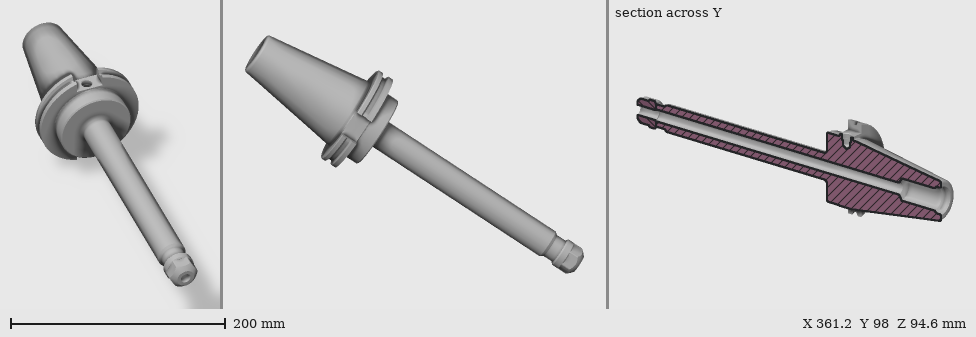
import cadquery as cq
import math


taper_ratio = 7 / 24
gauge_x = 101.5
gauge_d = 69.7
tail_d = gauge_d - taper_ratio * gauge_x
tail_round = 3.0
neck_d = 69.5
neck_fillet = 1.0

flange_x = 104.7
flange_width = 16.0
flange_end_x = flange_x + flange_width
flange_d = 98.0
flange_chamfer = 0.9

groove_x = 112.7
groove_floor = 3.5
groove_depth = 3.43
groove_mouth = 7.0

slot_width = 25.5
upper_slot_floor = 37.5
lower_slot_floor = 35.5

screw_x = 112.7
screw_d = 9.8
screw_mouth_d = 11.2
screw_depth = 5.5
pilot_d = 8.0
pilot_depth = 11.0

collar_d = 70.0
collar_end_x = 136.0
collar_chamfer = 1.0
collar_fillet = 1.0
shank_d = 27.5
shank_fillet = 3.3
shank_end_x = 326.0
nose_d = 23.0
nose_x = 329.0

mouth_d = 28.0
counterbore_d = 26.5
counterbore_end_x = 5.8
thread_d = 22.0
thread_end_x = 47.0
coolant_d = 11.5
mouth_angle = 60
step_angle = 90
drill_point = 118

nut_x = 339.0
nut_end_x = 361.2
nut_d = 28.0
nut_chamfer = 1.5
hex_x = 346.5
hex_shoulder = 1.0
hex_across_flats = 25.0
nut_bore_d = 9.8
dome_x = 355.5
dome_mid_x = 358.5
dome_mid_d = 22.8
nut_face_d = 17.0


def cone_length(large_d, small_d, included_angle):
    return (large_d - small_d) / 2 / math.tan(math.radians(included_angle / 2))


def revolve_about_x(profile):
    return profile.close().revolve(360, (0, 0, 0), (1, 0, 0))


def holder_blank():
    neck_r = neck_d / 2
    flange_r = flange_d / 2
    collar_r = collar_d / 2
    shank_r = shank_d / 2
    root_x = collar_end_x + shank_fillet
    arc_part = 1 - math.sqrt(0.5)
    blank = revolve_about_x(
        cq.Workplane("XY")
        .lineTo(0, tail_d / 2)
        .lineTo(gauge_x, gauge_d / 2)
        .lineTo(gauge_x, neck_r)
        .lineTo(flange_x - neck_fillet, neck_r)
        .threePointArc(
            (flange_x - arc_part * neck_fillet, neck_r + arc_part * neck_fillet),
            (flange_x, neck_r + neck_fillet),
        )
        .lineTo(flange_x, flange_r - flange_chamfer)
        .lineTo(flange_x + flange_chamfer, flange_r)
        .lineTo(groove_x - groove_mouth / 2, flange_r)
        .lineTo(groove_x - groove_floor / 2, flange_r - groove_depth)
        .lineTo(groove_x + groove_floor / 2, flange_r - groove_depth)
        .lineTo(groove_x + groove_mouth / 2, flange_r)
        .lineTo(flange_end_x, flange_r)
        .lineTo(flange_end_x, collar_r + collar_fillet)
        .threePointArc(
            (flange_end_x + arc_part * collar_fillet, collar_r + arc_part * collar_fillet),
            (flange_end_x + collar_fillet, collar_r),
        )
        .lineTo(collar_end_x - collar_chamfer, collar_r)
        .lineTo(collar_end_x, collar_r - collar_chamfer)
        .lineTo(collar_end_x, shank_r + shank_fillet)
        .threePointArc(
            (collar_end_x + arc_part * shank_fillet, shank_r + arc_part * shank_fillet),
            (root_x, shank_r),
        )
        .lineTo(shank_end_x, shank_r)
        .lineTo(nose_x, nose_d / 2)
        .lineTo(nut_x, nose_d / 2)
        .lineTo(nut_x, 0)
    )
    return blank.faces("<X").edges().fillet(tail_round)


def holder_bore():
    mouth_depth = cone_length(mouth_d, counterbore_d, mouth_angle)
    step_length = cone_length(counterbore_d, thread_d, step_angle)
    point_length = cone_length(thread_d, coolant_d, drill_point)
    return revolve_about_x(
        cq.Workplane("XY")
        .lineTo(0, mouth_d / 2)
        .lineTo(mouth_depth, counterbore_d / 2)
        .lineTo(counterbore_end_x, counterbore_d / 2)
        .lineTo(counterbore_end_x + step_length, thread_d / 2)
        .lineTo(thread_end_x, thread_d / 2)
        .lineTo(thread_end_x + point_length, coolant_d / 2)
        .lineTo(nut_x, coolant_d / 2)
        .lineTo(nut_x, 0)
    )


def drive_slot(floor, direction):
    """Slot across the flange; direction is +1 above the axis and -1 below it."""
    height = flange_d / 2
    return cq.Workplane("XY").box(flange_width, slot_width, height).translate(
        (flange_x + flange_width / 2, 0, direction * (floor + height / 2))
    )


def screw_hole():
    """Blind hole, countersunk at the slot floor, with a narrower pilot hole below it."""
    screw_r = screw_d / 2
    pilot_r = pilot_d / 2
    sink_depth = cone_length(screw_mouth_d, screw_d, step_angle)
    point_length = cone_length(pilot_d, 0, drill_point)
    return (
        cq.Workplane("XZ", origin=(screw_x, 0, upper_slot_floor))
        .lineTo(screw_mouth_d / 2, 0)
        .lineTo(screw_r, -sink_depth)
        .lineTo(screw_r, -screw_depth)
        .lineTo(pilot_r, -screw_depth)
        .lineTo(pilot_r, -pilot_depth)
        .lineTo(0, -pilot_depth - point_length)
        .close()
        .revolve(360, (0, 0, 0), (0, 1, 0))
    )


def make_holder():
    holder = holder_blank().cut(holder_bore())
    holder = holder.cut(drive_slot(upper_slot_floor, 1))
    holder = holder.cut(drive_slot(lower_slot_floor, -1))
    return holder.cut(screw_hole())


def outside_of_hexagon():
    """Material to take off around the hexagon, leaving a bevelled shoulder on the collar."""
    across_corners = hex_across_flats / math.cos(math.pi / 6)
    surround = (
        cq.Workplane("YZ", origin=(hex_x, 0, 0))
        .circle(nut_d)
        .polygon(6, across_corners)
        .extrude(nut_end_x - hex_x)
    )
    shoulder_r = nut_d / 2 - hex_shoulder
    shoulder = revolve_about_x(
        cq.Workplane("XY")
        .moveTo(hex_x, 0)
        .lineTo(hex_x, nut_d / 2)
        .lineTo(hex_x + hex_shoulder, shoulder_r)
        .lineTo(hex_x + hex_shoulder, 0)
    )
    return surround.cut(shoulder)


def make_nut():
    nut_r = nut_d / 2
    bore_r = nut_bore_d / 2
    turned = revolve_about_x(
        cq.Workplane("XY")
        .moveTo(nut_x, bore_r)
        .lineTo(nut_x, nut_r - nut_chamfer)
        .lineTo(nut_x + nut_chamfer, nut_r)
        .lineTo(dome_x, nut_r)
        .threePointArc((dome_mid_x, dome_mid_d / 2), (nut_end_x, nut_face_d / 2))
        .lineTo(nut_end_x, bore_r)
    )
    return turned.cut(outside_of_hexagon())


holder = make_holder()
nut = make_nut()

result = cq.Compound.makeCompound([holder.val(), nut.val()])